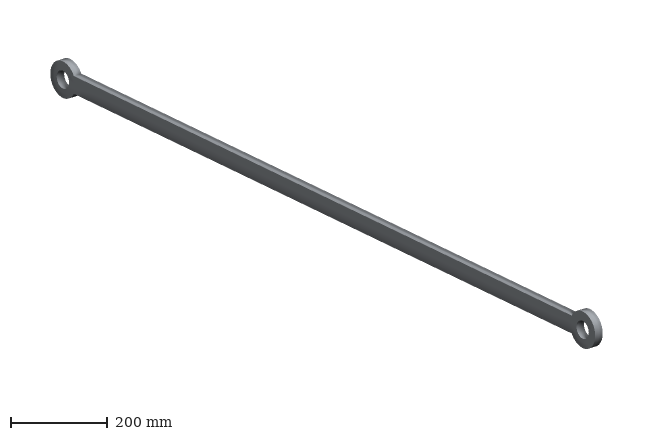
import cadquery as cq

eye_spacing = 1700.0
eye_diameter = 82.0
hole_diameter = 40.0
bar_height = 40.0
thickness = 20.0

eye_centres = [(-eye_spacing / 2, 0), (eye_spacing / 2, 0)]


def plate():
    """Work plane in XZ whose both-sided extrusions are centred on Y = 0."""
    return cq.Workplane("XZ")


def make_bar():
    """Flat bar running from one eye centre to the other."""
    return plate().rect(eye_spacing, bar_height).extrude(thickness / 2, both=True)


def make_eye_cylinders(diameter):
    """One cylinder through the full thickness at each eye centre."""
    return plate().pushPoints(eye_centres).circle(diameter / 2).extrude(thickness / 2, both=True)


link = make_bar().union(make_eye_cylinders(eye_diameter))
result = link.cut(make_eye_cylinders(hole_diameter))